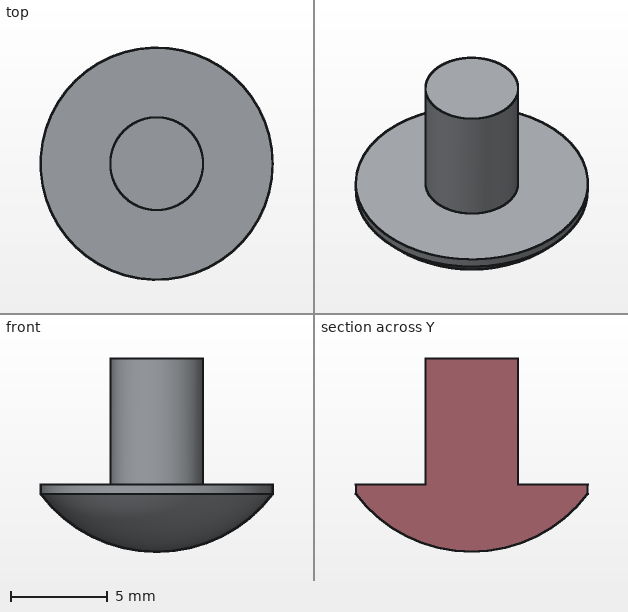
import cadquery as cq
import math

head_diameter = 12.0
shank_diameter = 4.8
shank_length = 6.5
rim_thickness = 0.49
dome_height = 3.0

head_radius = head_diameter / 2
shank_radius = shank_diameter / 2

rim_top = dome_height + rim_thickness
shank_top = rim_top + shank_length

dome_radius = (head_radius**2 + dome_height**2) / (2 * dome_height)
half_angle = math.asin(head_radius / dome_radius) / 2
dome_midpoint = (
    dome_radius * math.sin(half_angle),
    dome_radius * (1 - math.cos(half_angle)),
)

half_section = (
    cq.Workplane("XZ")
    .moveTo(0, 0)
    .threePointArc(dome_midpoint, (head_radius, dome_height))
    .lineTo(head_radius, rim_top)
    .lineTo(shank_radius, rim_top)
    .lineTo(shank_radius, shank_top)
    .lineTo(0, shank_top)
    .close()
)

result = half_section.revolve(360, (0, 0, 0), (0, 1, 0))